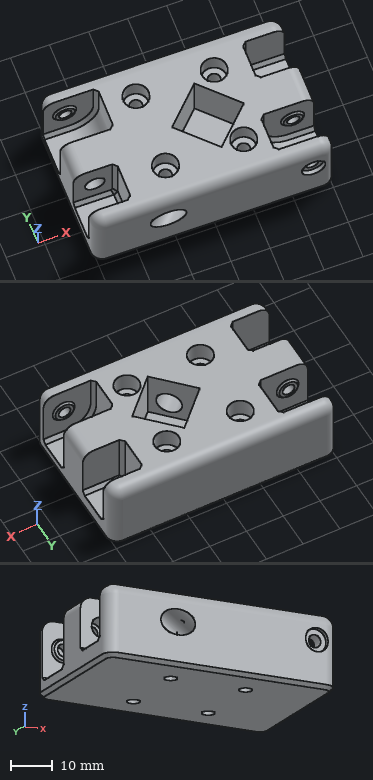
import cadquery as cq
import math

LENGTH = 61.5
WIDTH = 38.6
HEIGHT = 19.0
CORNER_RADIUS = 3.0
BASE_CHAMFER = 1.0
FRONT_Y = -WIDTH / 2

SLOT_CHAMFER = 1.0
SLOT_OVERHANG = 3.0
PLAIN_SLOT_FLOOR = 5.0
PLAIN_SLOT_LENGTH = 11.0
PIVOT_Z = 11.9
PIVOT_INSET = 5.5
SWING_RADIUS = 8.35
SWING_CORNER_RADIUS = 7.25
SWING_SLOT_FLOOR = 3.45
SWING_SLOT_LENGTH = PIVOT_INSET + SWING_RADIUS

LEFT_SWING_Y = (4.2, 15.7)
LEFT_PLAIN_Y = (-15.1, -4.8)
RIGHT_SWING_Y = (-15.1, -5.0)
RIGHT_PLAIN_Y = (4.6, 14.9)

BOSS_BASE_DIAMETER = 6.0
BOSS_TIP_DIAMETER = 5.0
BOSS_HEIGHT = 0.5
SCREW_DIAMETER = 3.2
RIGHT_HEAD_DIAMETER = 6.0
RIGHT_HEAD_DEPTH = 1.2
RIGHT_THREAD_DEPTH = 5.0
LEFT_HEAD_DIAMETER = 5.0
LEFT_HEAD_DEPTH = 5.0
LEFT_THREAD_DEPTH = 2.6
LEFT_PIVOT_X = -LENGTH / 2 + PIVOT_INSET
RIGHT_PIVOT_X = LENGTH / 2 - PIVOT_INSET

MOUNT_CENTER = (1.0, 0.4)
MOUNT_PITCH = 20.0
MOUNT_HOLE_DIAMETER = 3.2
MOUNT_HEAD_DIAMETER = 6.5
MOUNT_HEAD_DEPTH = 5.0

POCKET_CENTER = (5.3, -0.5)
POCKET_SIDE = 13.0
POCKET_DEPTH = 13.0
DIAGONAL_ANGLE = 45.0
PASSAGE_DIAMETER = 6.5
PASSAGE_MOUTH_X = -11.88
PASSAGE_Z = 11.0


def make_body():
    body = cq.Workplane("XY").box(LENGTH, WIDTH, HEIGHT, centered=(True, True, False))
    body = body.edges("|Z or >Z").fillet(CORNER_RADIUS)
    return body.faces("<Z").edges().chamfer(BASE_CHAMFER)


def slot_block(side, y_span, length, floor_z):
    """Block filling a slot open at the top and at one end (side -1 left, +1 right)."""
    y_low, y_high = y_span
    center = (
        side * (LENGTH / 2 - length / 2 + SLOT_OVERHANG / 2),
        (y_low + y_high) / 2,
        (floor_z + HEIGHT + SLOT_OVERHANG) / 2,
    )
    block = cq.Workplane("XY").box(length + SLOT_OVERHANG, y_high - y_low, HEIGHT + SLOT_OVERHANG - floor_z)
    return block.translate(center)


def inner_floor_edge(block, side):
    """Edge where the slot floor meets its inner wall."""
    inner_face = ">X" if side < 0 else "<X"
    return block.faces(inner_face).edges("<Z")


def bevel_sides(block):
    """Bevel the outline of both side walls; the open faces lie beyond the body."""
    return block.faces("<Y or >Y").edges().chamfer(SLOT_CHAMFER)


def swing_slot(side, y_span):
    block = slot_block(side, y_span, SWING_SLOT_LENGTH, SWING_SLOT_FLOOR)
    return bevel_sides(inner_floor_edge(block, side).fillet(SWING_CORNER_RADIUS))


def beveled_slot(side, y_span):
    block = slot_block(side, y_span, PLAIN_SLOT_LENGTH, PLAIN_SLOT_FLOOR)
    return bevel_sides(inner_floor_edge(block, side).chamfer(SLOT_CHAMFER))


def square_slot(side, y_span):
    return bevel_sides(slot_block(side, y_span, PLAIN_SLOT_LENGTH, PLAIN_SLOT_FLOOR))


def pivot_boss(x, wall_y, direction):
    """Cone on a slot wall, pointing along direction * Y."""
    cone = cq.Solid.makeCone(
        BOSS_BASE_DIAMETER / 2, BOSS_TIP_DIAMETER / 2, BOSS_HEIGHT,
        cq.Vector(x, wall_y, PIVOT_Z), cq.Vector(0, direction, 0),
    )
    return cq.Workplane(obj=cone)


def pivot_hole(x, diameter, y_start, y_end):
    bore = cq.Solid.makeCylinder(
        diameter / 2, y_end - y_start,
        cq.Vector(x, y_start, PIVOT_Z), cq.Vector(0, 1, 0),
    )
    return cq.Workplane(obj=bore)


def add_bosses(part, x, y_span):
    y_low, y_high = y_span
    part = part.union(pivot_boss(x, y_low, 1))
    return part.union(pivot_boss(x, y_high, -1))


def cut_right_pivot(part):
    """Screw enters from the front face and ends in the middle rib."""
    thread_end = RIGHT_SWING_Y[1] + RIGHT_THREAD_DEPTH
    part = part.cut(pivot_hole(RIGHT_PIVOT_X, RIGHT_HEAD_DIAMETER, FRONT_Y, FRONT_Y + RIGHT_HEAD_DEPTH))
    return part.cut(pivot_hole(RIGHT_PIVOT_X, SCREW_DIAMETER, FRONT_Y, thread_end))


def cut_left_pivot(part):
    """Screw enters from the beveled slot, crosses the rib and ends in the rear wall."""
    rib_y = LEFT_PLAIN_Y[1]
    thread_end = LEFT_SWING_Y[1] + LEFT_THREAD_DEPTH
    part = part.cut(pivot_hole(LEFT_PIVOT_X, LEFT_HEAD_DIAMETER, rib_y, rib_y + LEFT_HEAD_DEPTH))
    return part.cut(pivot_hole(LEFT_PIVOT_X, SCREW_DIAMETER, rib_y, thread_end))


def cut_mounting_holes(part):
    return (
        part.faces(">Z").workplane(origin=(0, 0, HEIGHT))
        .center(*MOUNT_CENTER)
        .rect(MOUNT_PITCH, MOUNT_PITCH, forConstruction=True)
        .vertices()
        .cboreHole(MOUNT_HOLE_DIAMETER, MOUNT_HEAD_DIAMETER, MOUNT_HEAD_DEPTH)
    )


def diamond_pocket():
    return (
        cq.Workplane("XY")
        .box(POCKET_SIDE, POCKET_SIDE, POCKET_DEPTH, centered=(True, True, False))
        .rotate((0, 0, 0), (0, 0, 1), DIAGONAL_ANGLE)
        .translate((*POCKET_CENTER, HEIGHT - POCKET_DEPTH))
    )


def slanted_passage():
    """Round passage square to a pocket wall, ending level with the pocket center."""
    angle = math.radians(DIAGONAL_ANGLE)
    axis = cq.Vector(math.cos(angle), math.sin(angle), 0)
    mouth = cq.Vector(PASSAGE_MOUTH_X, FRONT_Y, PASSAGE_Z)
    to_pocket = (cq.Vector(*POCKET_CENTER, PASSAGE_Z) - mouth).dot(axis)
    lead_in = PASSAGE_DIAMETER
    start = mouth - axis * lead_in
    bore = cq.Solid.makeCylinder(PASSAGE_DIAMETER / 2, to_pocket + lead_in, start, axis)
    return cq.Workplane(obj=bore)


result = make_body()
result = result.cut(swing_slot(-1, LEFT_SWING_Y))
result = result.cut(beveled_slot(-1, LEFT_PLAIN_Y))
result = result.cut(swing_slot(1, RIGHT_SWING_Y))
result = result.cut(square_slot(1, RIGHT_PLAIN_Y))
result = add_bosses(result, LEFT_PIVOT_X, LEFT_SWING_Y)
result = add_bosses(result, RIGHT_PIVOT_X, RIGHT_SWING_Y)
result = cut_right_pivot(result)
result = cut_left_pivot(result)
result = cut_mounting_holes(result)
result = result.cut(diamond_pocket())
result = result.cut(slanted_passage())